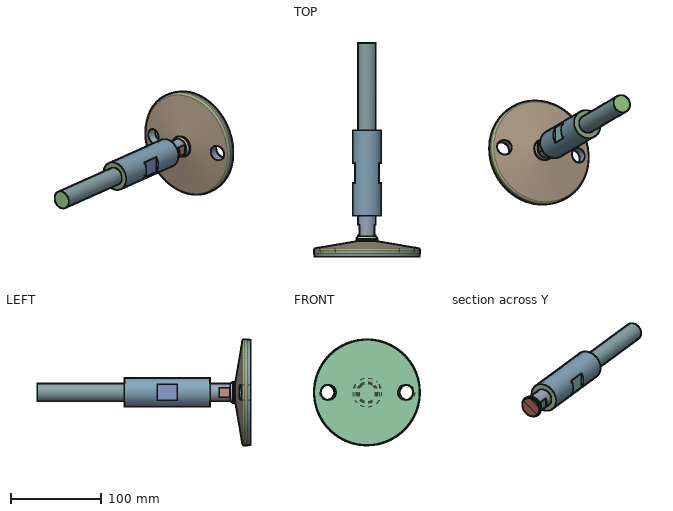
import cadquery as cq
import math

TOTAL_LENGTH = 237.0

FOOT_RADIUS = 118.0 / 2
FOOT_BOTTOM_RADIUS = 58.3
FOOT_BAND_START = 4.0
FOOT_BAND_END = 7.0
CONE_BASE_RADIUS = 56.9
CONE_BASE_Y = 9.7
CONE_TOP_RADIUS = 11.8
FOOT_HEIGHT = 17.3
BOLT_HOLE_DIAMETER = 16.5
BOLT_HOLE_OFFSET = 42.7
CONE_ANGLE = math.atan2(FOOT_HEIGHT - CONE_BASE_Y, CONE_BASE_RADIUS - CONE_TOP_RADIUS)

COLLAR_BOTTOM_RADIUS = 11.1
COLLAR_RADIUS = 11.8
COLLAR_BAND_START = 18.5
COLLAR_BAND_END = 20.0
COLLAR_TOP_Y = 22.8

ROD_RADIUS = 20.0 / 2
ROD_FLAT_START = 23.7
ROD_FLAT_END = 35.3
ROD_ACROSS_FLATS = 16.8

SLEEVE_RADIUS = 32.0 / 2
SLEEVE_START = 45.3
SLEEVE_END = 140.3
SLEEVE_FLAT_LENGTH = 21.8
SLEEVE_ACROSS_FLATS = 26.8


def revolve_about_y(profile):
    """Turn a closed XY profile a full revolution about the Y axis."""
    return profile.close().revolve(360, (0, 0, 0), (0, 1, 0))


def rod_along_y(radius, start, end):
    """Cylinder on the Y axis between two positions."""
    base = cq.Vector(0, start, 0)
    return cq.Workplane(cq.Solid.makeCylinder(radius, end - start, base, cq.Vector(0, 1, 0)))


def cut_wrench_flats(body, radius, across_flats, start, end):
    """Cut two opposite flats, facing -X and +X, into a round body."""
    flat_offset = across_flats / 2
    for side in (-1, 1):
        cutter = (
            cq.Workplane("XY")
            .box(radius, end - start, 2 * radius)
            .translate((side * (flat_offset + radius / 2), (start + end) / 2, 0))
        )
        body = body.cut(cutter)
    return body


def bolt_hole(side):
    """Cutter for a bolt hole square to the cone, passing its offset point at Y = 0."""
    axis = cq.Vector(side * math.sin(CONE_ANGLE), math.cos(CONE_ANGLE), 0)
    start = cq.Vector(side * BOLT_HOLE_OFFSET, 0, 0) - axis * FOOT_HEIGHT
    return cq.Solid.makeCylinder(BOLT_HOLE_DIAMETER / 2, 3 * FOOT_HEIGHT, start, axis)


def make_foot():
    """Conical foot plate with a rounded rim and two tilted bolt holes."""
    profile = (
        cq.Workplane("XY")
        .lineTo(0, FOOT_HEIGHT)
        .lineTo(CONE_TOP_RADIUS, FOOT_HEIGHT)
        .lineTo(CONE_BASE_RADIUS, CONE_BASE_Y)
        .tangentArcPoint((FOOT_RADIUS, FOOT_BAND_END), relative=False)
        .lineTo(FOOT_RADIUS, FOOT_BAND_START)
        .lineTo(FOOT_BOTTOM_RADIUS, 0)
    )
    foot = revolve_about_y(profile)
    for side in (-1, 1):
        foot = foot.cut(cq.Workplane(bolt_hole(side)))
    return foot


def make_collar():
    """Collar seated on the foot, with a spherical shoulder centred on the Y axis."""
    shoulder_height = COLLAR_TOP_Y - COLLAR_BAND_END
    ball_drop = (COLLAR_RADIUS**2 - ROD_RADIUS**2 - shoulder_height**2) / (2 * shoulder_height)
    ball_center_y = COLLAR_BAND_END - ball_drop
    ball_radius = math.hypot(COLLAR_RADIUS, ball_drop)
    shoulder_middle_y = (COLLAR_BAND_END + COLLAR_TOP_Y) / 2
    shoulder_middle_radius = math.sqrt(ball_radius**2 - (shoulder_middle_y - ball_center_y) ** 2)
    profile = (
        cq.Workplane("XY")
        .moveTo(0, FOOT_HEIGHT)
        .lineTo(COLLAR_BOTTOM_RADIUS, FOOT_HEIGHT)
        .lineTo(COLLAR_RADIUS, COLLAR_BAND_START)
        .lineTo(COLLAR_RADIUS, COLLAR_BAND_END)
        .threePointArc((shoulder_middle_radius, shoulder_middle_y), (ROD_RADIUS, COLLAR_TOP_Y))
        .lineTo(0, COLLAR_TOP_Y)
    )
    return revolve_about_y(profile)


def make_spindle():
    """Rod with its collar and sleeve, each with a pair of wrench flats."""
    rod = rod_along_y(ROD_RADIUS, COLLAR_TOP_Y, TOTAL_LENGTH)
    rod = cut_wrench_flats(rod, ROD_RADIUS, ROD_ACROSS_FLATS, ROD_FLAT_START, ROD_FLAT_END)
    sleeve = rod_along_y(SLEEVE_RADIUS, SLEEVE_START, SLEEVE_END)
    sleeve_middle = (SLEEVE_START + SLEEVE_END) / 2
    sleeve = cut_wrench_flats(
        sleeve,
        SLEEVE_RADIUS,
        SLEEVE_ACROSS_FLATS,
        sleeve_middle - SLEEVE_FLAT_LENGTH / 2,
        sleeve_middle + SLEEVE_FLAT_LENGTH / 2,
    )
    return make_collar().union(rod).union(sleeve)


foot = make_foot().solids()
spindle = make_spindle().solids()
result = cq.Compound.makeCompound([foot.val(), spindle.val()])